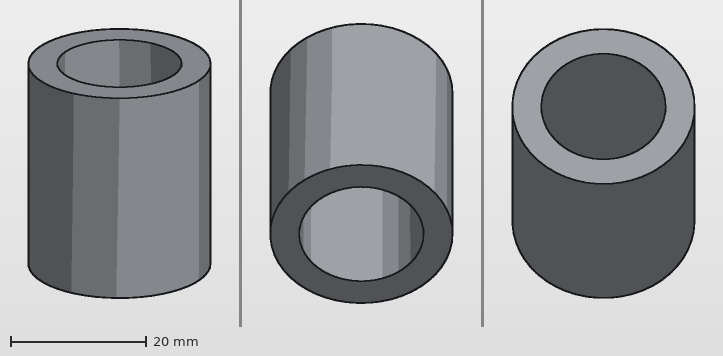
import cadquery as cq

length = 32.0
outer_diameter = 27.0
bore_diameter = 18.4

result = (
    cq.Workplane("XY")
    .circle(outer_diameter / 2)
    .circle(bore_diameter / 2)
    .extrude(length)
)